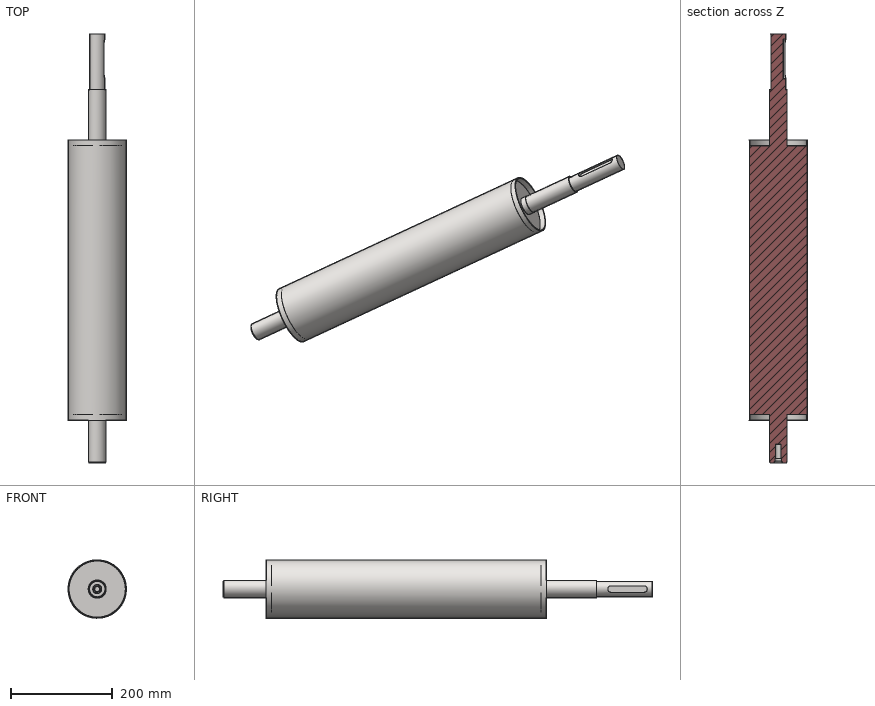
import cadquery as cq
import math

total_length = 843.0
drive_end = total_length / 2
free_end = -total_length / 2

tube_diameter = 115.0
tube_bore = 110.5
tube_length = 550.5
free_shaft_length = 84.0
plate_recess = 11.0
tube_start = free_end + free_shaft_length
tube_end = tube_start + tube_length

shaft_diameter = 34.5
journal_diameter = 30.0
core_diameter = 35.0
journal_length = 110.0
end_chamfer = 2.1

hole_diameter = 10.0
counterbore_diameter = 13.0
countersink_diameter = 18.0
countersink_half_angle = 30.0
counterbore_depth = 9.0
hole_depth = 37.0

key_width = 13.0
key_length = 77.5
key_depth = 5.0
key_end_margin = 10.0


def cylinder(diameter, start, length):
    """Solid cylinder along +Y from the given start."""
    plane = cq.Workplane("XZ", origin=(0, start, 0))
    return plane.circle(diameter / 2).extrude(-length)


def make_roller():
    tube = cylinder(tube_diameter, tube_start, tube_length)
    for recess_start in (tube_start, tube_end - plate_recess):
        tube = tube.cut(cylinder(tube_bore, recess_start, plate_recess))
    return tube


def make_shaft():
    """Stepped shaft with a thicker core flush with both tube ends."""
    shaft = cylinder(shaft_diameter, free_end, total_length - journal_length)
    shaft = shaft.faces("<Y").chamfer(end_chamfer)
    journal = cylinder(journal_diameter, drive_end - journal_length, journal_length)
    core = cylinder(core_diameter, tube_start, tube_length)
    return shaft.union(journal).union(core)


def make_centre_hole():
    """Drilled hole with a counterbore and a conical mouth."""
    mouth_step = (countersink_diameter - counterbore_diameter) / 2
    mouth_depth = mouth_step / math.tan(math.radians(countersink_half_angle))
    drill_radius = hole_diameter / 2
    counterbore_radius = counterbore_diameter / 2
    profile = (
        cq.Workplane("XY", origin=(0, free_end, 0))
        .lineTo(countersink_diameter / 2, 0)
        .lineTo(counterbore_radius, mouth_depth)
        .lineTo(counterbore_radius, counterbore_depth)
        .lineTo(drill_radius, counterbore_depth)
        .lineTo(drill_radius, hole_depth)
        .lineTo(0, hole_depth)
        .close()
    )
    return profile.revolve(360, (0, 0, 0), (0, 1, 0))


def make_keyway():
    floor = journal_diameter / 2 - key_depth
    middle = drive_end - key_end_margin - key_length / 2
    plane = cq.Workplane("YZ", origin=(floor, middle, 0))
    return plane.slot2D(key_length, key_width).extrude(journal_diameter)


result = make_roller().union(make_shaft()).cut(make_centre_hole()).cut(make_keyway())